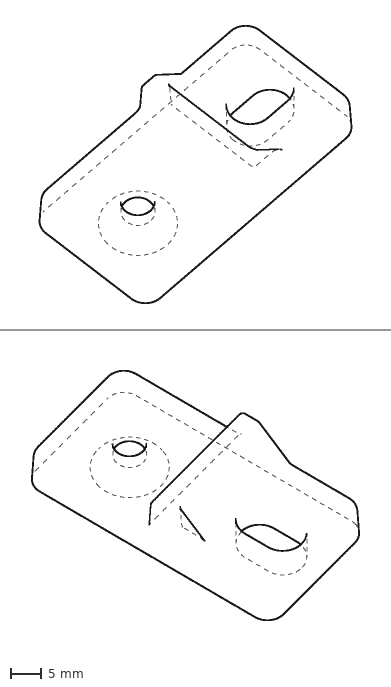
import cadquery as cq
import math

length = 51.25
width = 26.1
height = 12.7
plate_height = 6.3
draft = 2.0
corner_radius = 3.4
edge_radius = 0.75

stop_front_y = 0.0
slope_foot_y = 10.1
slope_top_y = slope_foot_y - (height - plate_height)

recess_left_x = -9.9
recess_right_x = 9.65
recess_front_y = slope_top_y

hole_x = -0.1
slot_y = 15.6
slot_width = 7.85
slot_length = 12.6
screw_y = -13.75
screw_diameter = 5.6
sink_diameter = 13.0
sink_depth = 3.3
rim_radius = 0.3

draft_slope = math.tan(math.radians(draft))
stop_rise = height - plate_height
recess_draft = stop_rise * draft_slope


def make_envelope():
    """Full-height drafted block with rounded vertical corners."""
    block = cq.Workplane("XY").rect(width, length).extrude(height, taper=draft)
    return block.edges("not #Z").fillet(corner_radius)


def make_side_profile():
    """Plate and stop outline, extruded across the width."""
    front_foot_y = stop_front_y - stop_rise * draft_slope
    outline = [
        (-length, 0),
        (length, 0),
        (length, plate_height),
        (slope_foot_y, plate_height),
        (slope_top_y, height),
        (stop_front_y, height),
        (front_foot_y, plate_height),
        (-length, plate_height),
    ]
    return cq.Workplane("YZ").polyline(outline).close().extrude(width, both=True)


def make_recess():
    """Drafted space between the gussets, narrowing down to the plate top."""
    return (
        cq.Workplane("XY", origin=(0, 0, height))
        .moveTo(recess_left_x, recess_front_y)
        .lineTo(recess_right_x, recess_front_y)
        .lineTo(recess_right_x, length)
        .lineTo(recess_left_x, length)
        .close()
        .extrude(-stop_rise, taper=draft)
    )


def round_upper_edges(body):
    """Same radius on every edge and inner corner from the plate top upwards."""
    above = cq.selectors.BoxSelector(
        (-width, -length, plate_height - rim_radius), (width, length, height + rim_radius)
    )
    return body.edges(above).fillet(edge_radius)


def make_slot():
    """Upright through slot with a rounded upper rim."""
    return (
        cq.Workplane("XY")
        .center(hole_x, slot_y)
        .slot2D(slot_length, slot_width, 90)
        .extrude(plate_height)
    )


def make_screw_hole():
    """Through hole, countersunk from the underside."""
    bore_radius = screw_diameter / 2
    sink_radius = sink_diameter / 2
    bore = cq.Workplane("XY").circle(bore_radius).extrude(plate_height)
    sink = cq.Workplane(cq.Solid.makeCone(sink_radius, bore_radius, sink_depth))
    return bore.union(sink).translate((hole_x, screw_y, 0))


def top_rim_region(center_y, size_x, size_y):
    """Selects the edges of an opening in the plate top."""
    half_x = size_x / 2 + rim_radius
    half_y = size_y / 2 + rim_radius
    return cq.selectors.BoxSelector(
        (hole_x - half_x, center_y - half_y, plate_height - rim_radius),
        (hole_x + half_x, center_y + half_y, plate_height + rim_radius),
        boundingbox=True,
    )


def round_hole_rims(body):
    """Small rounding on the upper rims of the slot and the screw hole."""
    around_slot = top_rim_region(slot_y, slot_width, slot_length)
    around_screw = top_rim_region(screw_y, screw_diameter, screw_diameter)
    return body.edges(around_slot + around_screw).fillet(rim_radius)


body = make_envelope().intersect(make_side_profile()).cut(make_recess())
body = round_upper_edges(body)
body = body.cut(make_slot()).cut(make_screw_hole())
result = round_hole_rims(body)